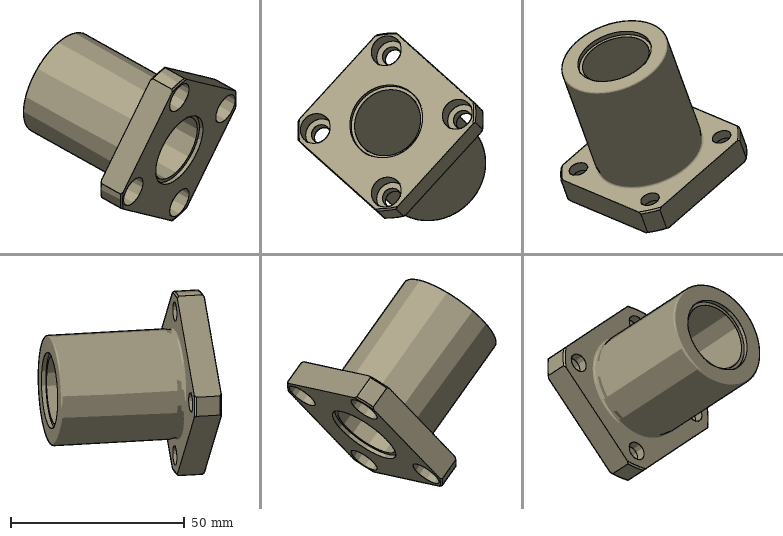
import cadquery as cq

total_length = 45.0
flange_thickness = 8.0
flange_diameter = 53.95
flange_square = 42.0
flange_chamfer = 0.5

body_diameter = 32.0
end_fillet = 0.5
undercut_diameter = 31.4
undercut_length = 2.6
undercut_taper = 1.3
root_fillet = 0.6

bore_diameter = 20.0
recess_diameter = 22.0
recess_depth = 1.3

bolt_circle = 43.0
hole_diameter = 5.5
counterbore_diameter = 9.0
counterbore_depth = 5.1
hole_count = 4

flange_x = total_length - flange_thickness
body_radius = body_diameter / 2
undercut_radius = undercut_diameter / 2


def cylinder_x(diameter, start, length):
    """Cylinder on the X axis, running from start toward +X."""
    return cq.Workplane("YZ").workplane(offset=start).circle(diameter / 2).extrude(length)


def make_sleeve():
    """Revolved sleeve with a rounded end, tapered undercut and concave root fillet."""
    undercut_start = flange_x - undercut_length
    return (
        cq.Workplane("XY")
        .lineTo(0, body_radius - end_fillet)
        .radiusArc((end_fillet, body_radius), end_fillet)
        .lineTo(undercut_start, body_radius)
        .lineTo(undercut_start + undercut_taper, undercut_radius)
        .lineTo(flange_x - root_fillet, undercut_radius)
        .radiusArc((flange_x, undercut_radius + root_fillet), -root_fillet)
        .lineTo(total_length, undercut_radius + root_fillet)
        .lineTo(total_length, 0)
        .close()
        .revolve(360, (0, 0, 0), (1, 0, 0))
    )


def make_flange():
    """Chamfered disc trimmed to a square standing on its corner."""
    disc = cylinder_x(flange_diameter, flange_x, flange_thickness).edges().chamfer(flange_chamfer)
    square = (
        cq.Workplane("YZ")
        .workplane(offset=flange_x)
        .rect(flange_square, flange_square)
        .extrude(flange_thickness)
        .rotate((0, 0, 0), (1, 0, 0), 45)
    )
    return disc.intersect(square)


def drill_mounting_holes(part):
    """Counterbored holes near the four flange corners."""
    return (
        part.faces(">X")
        .workplane(origin=(total_length, 0, 0))
        .polarArray(bolt_circle / 2, 0, 360, hole_count)
        .cboreHole(hole_diameter, counterbore_diameter, counterbore_depth)
    )


def cut_bore(part):
    """Through bore with a shallow recess at each end."""
    part = part.cut(cylinder_x(bore_diameter, 0, total_length))
    for recess_start in (0, total_length - recess_depth):
        part = part.cut(cylinder_x(recess_diameter, recess_start, recess_depth))
    return part


flange = drill_mounting_holes(make_flange())
result = cut_bore(make_sleeve().union(flange))